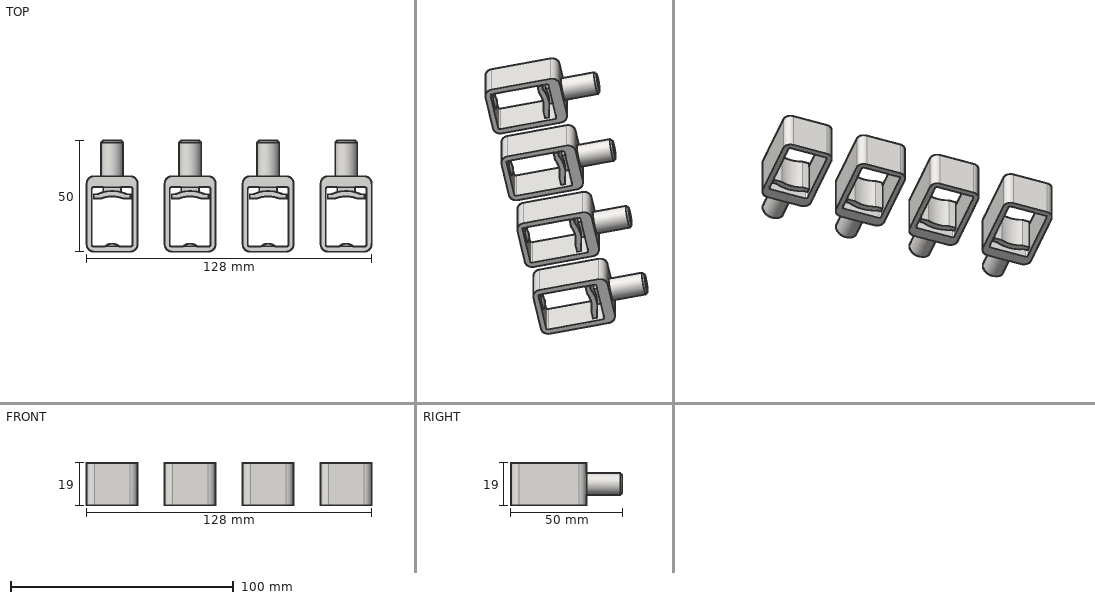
import cadquery as cq
import math

clamp_count = 4
clamp_pitch = 35.0

frame_width = 23.0
frame_length = 34.0
frame_height = 19.0
frame_corner_radius = 3.5
wall = 2.4
screw_wall = 5.0
window_corner_radius = 0.8

shank_diameter = 10.0
shank_length = 16.0
shank_chamfer = 1.0

plate_width = 16.6
plate_height = 17.0
plate_end_thickness = 2.0
plate_end_gap = 3.1
upper_arch_span = 13.2
upper_arch_rise = 1.4
lower_arch_span = 9.8
lower_arch_rise = 0.9

neck_width = 8.0
neck_height = 8.0

bump_diameter = 6.4
bump_rise = 1.3

window_near_y = wall
window_far_y = frame_length - screw_wall
window_width = frame_width - 2 * wall
window_length = window_far_y - window_near_y
plate_far_y = window_far_y - plate_end_gap
plate_near_y = plate_far_y - plate_end_thickness


def make_frame():
    """Rounded block with a rectangular window through its height."""
    block = (
        cq.Workplane("XY")
        .box(frame_width, frame_length, frame_height, centered=(True, False, True))
        .edges("|Z")
        .fillet(frame_corner_radius)
    )
    window = (
        cq.Workplane("XY")
        .box(window_width, window_length, frame_height, centered=(True, False, True))
        .translate((0, window_near_y, 0))
        .edges("|Z")
        .fillet(window_corner_radius)
    )
    return block.cut(window)


def make_shank():
    """Round shank along +Y with a chamfered tip."""
    return (
        cq.Workplane("XZ", origin=(0, frame_length, 0))
        .circle(shank_diameter / 2)
        .extrude(-shank_length)
        .faces(">Y")
        .chamfer(shank_chamfer)
    )


def make_plate():
    """Plate with flat ends and an arched middle, bowed toward the screw."""
    half_width = plate_width / 2
    half_upper = upper_arch_span / 2
    half_lower = lower_arch_span / 2
    return (
        cq.Workplane("XY")
        .moveTo(-half_width, plate_near_y)
        .lineTo(-half_lower, plate_near_y)
        .threePointArc((0, plate_near_y + lower_arch_rise), (half_lower, plate_near_y))
        .lineTo(half_width, plate_near_y)
        .lineTo(half_width, plate_far_y)
        .lineTo(half_upper, plate_far_y)
        .threePointArc((0, plate_far_y + upper_arch_rise), (-half_upper, plate_far_y))
        .lineTo(-half_width, plate_far_y)
        .close()
        .extrude(plate_height / 2, both=True)
    )


def make_neck():
    """Block reaching from the screw wall into the plate."""
    neck_length = window_far_y - plate_far_y
    return (
        cq.Workplane("XY")
        .box(neck_width, neck_length, neck_height, centered=(True, False, True))
        .translate((0, plate_far_y, 0))
    )


def make_bump():
    """Spherical cap rising from the near wall into the window, rooted in mid-wall."""
    half_bump = bump_diameter / 2
    sphere_radius = (half_bump**2 + bump_rise**2) / (2 * bump_rise)
    bump_top_y = window_near_y + bump_rise
    slope_angle = math.asin(half_bump / sphere_radius) / 2
    arc_middle_x = sphere_radius * math.sin(slope_angle)
    arc_middle_y = bump_top_y - sphere_radius * (1 - math.cos(slope_angle))
    root_y = window_near_y - wall / 2
    return (
        cq.Workplane("XY")
        .moveTo(0, root_y)
        .lineTo(half_bump, root_y)
        .lineTo(half_bump, window_near_y)
        .threePointArc((arc_middle_x, arc_middle_y), (0, bump_top_y))
        .close()
        .revolve(360, (0, 0, 0), (0, 1, 0))
    )


def make_clamp():
    """One complete clamp, centred on X = 0."""
    return make_frame().union(make_shank()).union(make_neck()).union(make_plate()).union(make_bump())


clamp = make_clamp()
first_clamp_x = -clamp_pitch * (clamp_count - 1) / 2
clamps = []
for index in range(clamp_count):
    clamps.append(clamp.translate((first_clamp_x + index * clamp_pitch, 0, 0)).val())

result = cq.Compound.makeCompound(clamps)